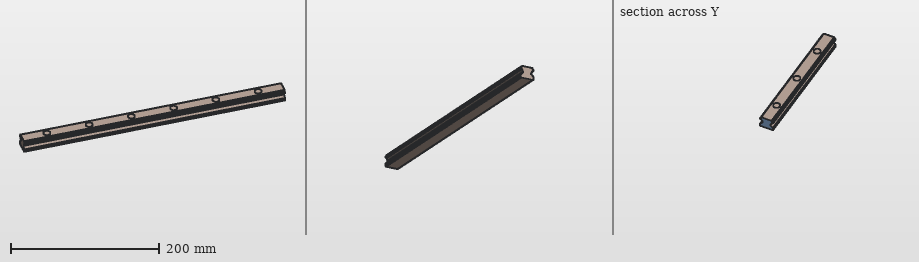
import cadquery as cq

length = 370.0
width = 20.0
height = 17.5
half_width = width / 2

foot_chamfer = 0.92
foot_flat_top = 3.7
foot_bevel_top = 4.8
foot_bevel_half_width = 9.5

neck_half_width = 6.3
neck_bottom = 8.0
neck_top = 9.2

lower_track_half_width = 7.5
lower_track_bottom = 10.7
lower_track_edge = 8.0
lower_track_top = 12.5
head_flat_bottom = 13.5
head_flat_top = 14.0
head_bevel_half_width = 9.5
head_bevel_top = 14.8
upper_track_half_width = 9.0
upper_track_bottom = 15.0
top_bevel_half_width = 8.0
top_bevel_bottom = 17.0
top_half_width = 7.8

seat_diameter = 9.5
seat_depth = 0.2
seat_count = 6
seat_pitch = 60.0


def rail_body():
    """Extrude the mirrored cross-section along the full length."""
    right_side = [
        (half_width - foot_chamfer, 0),
        (half_width, foot_chamfer),
        (half_width, foot_flat_top),
        (foot_bevel_half_width, foot_bevel_top),
        (neck_half_width, neck_bottom),
        (neck_half_width, neck_top),
        (lower_track_half_width, lower_track_bottom),
        (lower_track_edge, lower_track_top),
        (half_width, head_flat_bottom),
        (half_width, head_flat_top),
        (head_bevel_half_width, head_bevel_top),
        (upper_track_half_width, upper_track_bottom),
        (top_bevel_half_width, top_bevel_bottom),
        (top_half_width, height),
    ]
    left_side = [(-x, z) for x, z in reversed(right_side)]
    profile = cq.Workplane("XZ").polyline(right_side + left_side).close()
    return profile.extrude(length / 2, both=True)


def cap_seats():
    """Row of shallow round seats, centred along the top face."""
    top = cq.Workplane("XY").workplane(offset=height)
    centres = top.rarray(3.7, seat_pitch, 1, seat_count)
    return centres.circle(seat_diameter / 2).extrude(-seat_depth)


result = rail_body().cut(cap_seats())